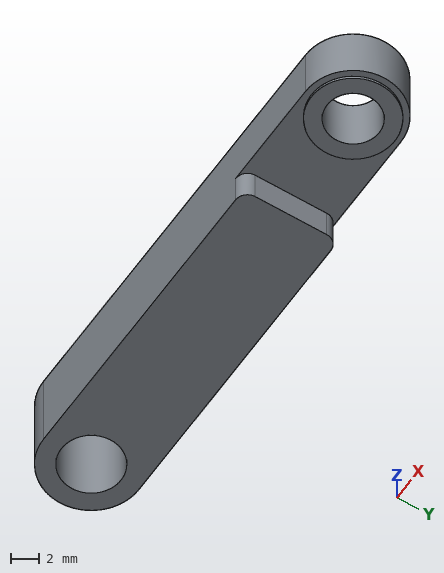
import cadquery as cq

length = 41.75
width = 8.0
height = 7.0
end_radius = width / 2

arm_thickness = 4.43
step_height = height - arm_thickness
step_x = 29.73
step_corner_radius = 1.0

left_hole_diameter = 5.0
right_hole_diameter = 4.4
left_pivot_x = end_radius
right_pivot_x = length - end_radius

pad_diameter = 7.0
pad_height = 0.25


def vertical_cylinder(x, diameter, bottom, cylinder_height):
    """Solid cylinder along Z on the centreline of the link."""
    return (
        cq.Workplane("XY", origin=(x, 0, bottom))
        .circle(diameter / 2)
        .extrude(cylinder_height)
    )


link = (
    cq.Workplane("XY", origin=(length / 2, 0, 0))
    .slot2D(length, width)
    .extrude(height)
)

step_length = length - step_x
step_cutter = (
    cq.Workplane("XY")
    .box(step_length, width, step_height, centered=(False, True, False))
    .translate((step_x, 0, 0))
)
link = link.cut(step_cutter)

corner_finder = cq.selectors.BoxSelector(
    (step_x - step_corner_radius, -width, 0),
    (step_x + step_corner_radius, width, step_height),
)
link = link.edges("|Z").edges(corner_finder).fillet(step_corner_radius)

pad = vertical_cylinder(right_pivot_x, pad_diameter, step_height - pad_height, pad_height)

result = link.union(pad)

for pivot_x, diameter in (
    (left_pivot_x, left_hole_diameter),
    (right_pivot_x, right_hole_diameter),
):
    result = result.cut(vertical_cylinder(pivot_x, diameter, 0, height))